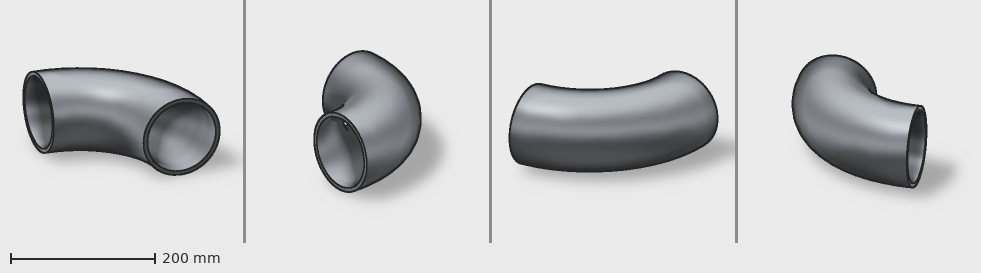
import cadquery as cq

overall_length = 209.6
outer_diameter = 114.3
inner_diameter = 102.3
bend_angle = 90.0

bend_radius = overall_length - outer_diameter / 2

result = (
    cq.Workplane("XZ")
    .center(-bend_radius, 0)
    .circle(outer_diameter / 2)
    .circle(inner_diameter / 2)
    .revolve(bend_angle, (bend_radius, 0), (bend_radius, -1))
)